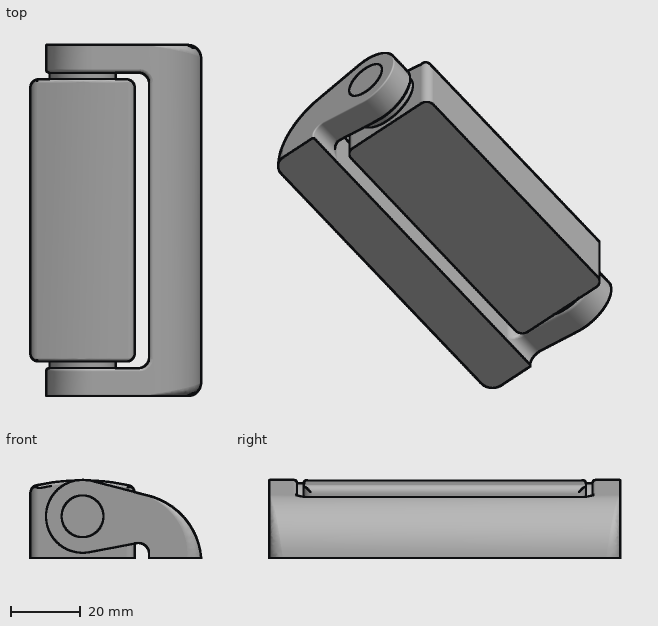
import cadquery as cq
import math

AXIS_Z = 12.0
KNUCKLE_RADIUS = 10.5
PIN_DIAMETER = 12.0
SHOULDER_DIAMETER = 19.0

BRACKET_LENGTH = 100.6
ARM_THICKNESS = 8.0
BAR_INNER_X = 19.0
BAR_OUTER_X = 34.0
TOP_SLOPE = math.radians(14.5)
UNDERSIDE_SLOPE = math.radians(10.7)
RELIEF_RADIUS = 3.0
WINDOW_CORNER_RADIUS = 3.0
INNER_EDGE_FILLET = 1.0
OUTER_EDGE_FILLET = 0.4
BACK_CORNER_FILLET = 4.0

LEAF_WIDTH = 30.0
SHOULDER_GAP = 1.8
LEAF_TOP_Z = 22.3
LEAF_DOME_RADIUS = 60.4
LEAF_FILLET = 2.5
LEAF_END_FILLET = 1.0

ARM_INNER_Y = BRACKET_LENGTH / 2 - ARM_THICKNESS
LEAF_LENGTH = 2 * (ARM_INNER_Y - SHOULDER_GAP)

TOP_TANGENT_X = KNUCKLE_RADIUS * math.sin(TOP_SLOPE)
TOP_TANGENT_Z = AXIS_Z + KNUCKLE_RADIUS * math.cos(TOP_SLOPE)
UNDER_TANGENT_X = KNUCKLE_RADIUS * math.sin(UNDERSIDE_SLOPE)
UNDER_TANGENT_Z = AXIS_Z - KNUCKLE_RADIUS * math.cos(UNDERSIDE_SLOPE)

BACK_START_Z = TOP_TANGENT_Z - (BAR_INNER_X - TOP_TANGENT_X) * math.tan(TOP_SLOPE)
BACK_RUN = BAR_INNER_X - BAR_OUTER_X
BACK_RADIUS = (BACK_RUN**2 + BACK_START_Z**2) / (
    2 * (BACK_RUN * math.sin(TOP_SLOPE) + BACK_START_Z * math.cos(TOP_SLOPE))
)
BACK_CENTER_X = BAR_INNER_X - BACK_RADIUS * math.sin(TOP_SLOPE)
BACK_CENTER_Z = BACK_START_Z - BACK_RADIUS * math.cos(TOP_SLOPE)


def hinge_cylinder(diameter, length):
    """Cylinder on the hinge axis, centred on y = 0."""
    return (
        cq.Workplane("XZ")
        .center(0, AXIS_Z)
        .circle(diameter / 2)
        .extrude(length / 2, both=True)
    )


def bracket_blank():
    """Side outline of the bracket, extruded over its whole length."""
    relief_x = BAR_INNER_X - RELIEF_RADIUS
    relief_start_x = relief_x - RELIEF_RADIUS * math.sin(UNDERSIDE_SLOPE)
    relief_start_z = UNDER_TANGENT_Z + (relief_start_x - UNDER_TANGENT_X) * math.tan(UNDERSIDE_SLOPE)
    relief_z = relief_start_z - RELIEF_RADIUS * math.cos(UNDERSIDE_SLOPE)
    return (
        cq.Workplane("XZ")
        .moveTo(TOP_TANGENT_X, TOP_TANGENT_Z)
        .lineTo(BAR_INNER_X, BACK_START_Z)
        .tangentArcPoint((BAR_OUTER_X, 0), relative=False)
        .lineTo(BAR_INNER_X, 0)
        .lineTo(BAR_INNER_X, relief_z)
        .tangentArcPoint((relief_start_x, relief_start_z), relative=False)
        .lineTo(UNDER_TANGENT_X, UNDER_TANGENT_Z)
        .threePointArc((-KNUCKLE_RADIUS, AXIS_Z), (TOP_TANGENT_X, TOP_TANGENT_Z))
        .close()
        .extrude(BRACKET_LENGTH / 2, both=True)
    )


def window():
    """Opening between the arms, rounded where the arms meet the bar."""
    reach = 2 * BAR_INNER_X
    return (
        cq.Workplane("XY")
        .box(2 * reach, 2 * ARM_INNER_Y, 2 * reach)
        .edges("|Z and >X")
        .fillet(WINDOW_CORNER_RADIUS)
        .translate((BAR_INNER_X - reach, 0, 0))
    )


def corner_section(angle, radius):
    """Stock outside a corner round of the given radius, in the radial plane of the back at angle."""
    overshoot = 1.0
    end_y = -BRACKET_LENGTH / 2
    arc_inset = radius * (1 - math.sqrt(0.5))
    radial_plane = cq.Plane(
        origin=(BACK_CENTER_X, 0, BACK_CENTER_Z),
        xDir=(math.cos(angle), 0, math.sin(angle)),
        normal=(math.sin(angle), 0, -math.cos(angle)),
    )
    return (
        cq.Workplane(radial_plane)
        .moveTo(BACK_RADIUS - radius, end_y)
        .threePointArc((BACK_RADIUS - arc_inset, end_y + arc_inset), (BACK_RADIUS, end_y + radius))
        .lineTo(BACK_RADIUS + overshoot, end_y + radius)
        .lineTo(BACK_RADIUS + overshoot, end_y - overshoot)
        .lineTo(BACK_RADIUS - radius, end_y - overshoot)
        .close()
        .val()
    )


def back_corner_cutter():
    """Stock removed at the -Y end of the back, for a fillet that grows from the top to the base."""
    steps = 6
    start_angle = math.pi / 2 - TOP_SLOPE
    base_angle = math.asin(-BACK_CENTER_Z / BACK_RADIUS)
    sections = []
    for step in range(steps + 2):
        progress = step / steps
        angle = start_angle + progress * (base_angle - start_angle)
        radius = OUTER_EDGE_FILLET + progress * (BACK_CORNER_FILLET - OUTER_EDGE_FILLET)
        sections.append(corner_section(angle, radius))
    return cq.Workplane(cq.Solid.makeLoft(sections))


def knuckle_rim(y):
    """Selector for the round edge of a knuckle in the plane at y."""
    margin = 0.1
    return cq.selectors.BoxSelector(
        (-KNUCKLE_RADIUS, y - margin, 0), (0, y + margin, 2 * AXIS_Z)
    )


def make_bracket():
    """Bracket with rounded rims and a through hole for the pin in each arm."""
    body = bracket_blank().cut(window())
    body = body.edges(knuckle_rim(ARM_INNER_Y)).fillet(INNER_EDGE_FILLET)
    for side in (-1, 1):
        body = body.edges(knuckle_rim(side * BRACKET_LENGTH / 2)).fillet(OUTER_EDGE_FILLET)
    corner = back_corner_cutter()
    body = body.cut(corner).cut(corner.mirror("XZ"))
    return body.cut(hinge_cylinder(PIN_DIAMETER, BRACKET_LENGTH))


def leaf_block():
    """Domed block with rounded long edges, end edges and upright corners."""
    half_width = LEAF_WIDTH / 2
    dome_edge_z = LEAF_TOP_Z - LEAF_DOME_RADIUS + math.sqrt(LEAF_DOME_RADIUS**2 - half_width**2)
    domed = (
        cq.Workplane("XZ")
        .moveTo(-half_width, 0)
        .lineTo(half_width, 0)
        .lineTo(half_width, dome_edge_z)
        .threePointArc((0, LEAF_TOP_Z), (-half_width, dome_edge_z))
        .close()
        .extrude(LEAF_LENGTH / 2, both=True)
        .edges("|Y and (not <Z)")
        .fillet(LEAF_FILLET)
        .faces("<Y or >Y")
        .edges("not <Z")
        .fillet(LEAF_END_FILLET)
    )
    plan = (
        cq.Workplane("XY")
        .rect(LEAF_WIDTH, LEAF_LENGTH)
        .extrude(LEAF_TOP_Z)
        .edges("|Z")
        .fillet(LEAF_FILLET)
    )
    return domed.intersect(plan)


def make_leaf():
    """Leaf with its shoulders, which touch the arms, and its pin ends, flush with the arms."""
    leaf = leaf_block()
    leaf = leaf.union(hinge_cylinder(SHOULDER_DIAMETER, 2 * ARM_INNER_Y))
    return leaf.union(hinge_cylinder(PIN_DIAMETER, BRACKET_LENGTH))


bracket = make_bracket()
leaf = make_leaf()

result = cq.Compound.makeCompound([bracket.val(), leaf.val()])